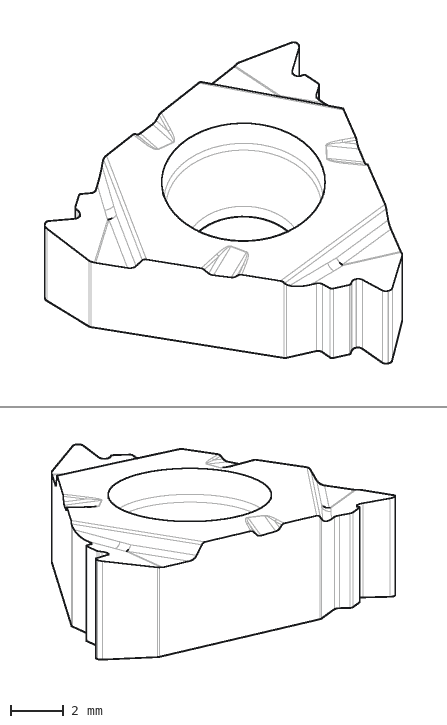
import cadquery as cq
import math

thickness = 4.17
inscribed_diameter = 9.53
inscribed_radius = inscribed_diameter / 2
corner_count = 3

tip_height = 6.9
tip_center_x = -3.56
tip_width = 0.28
tip_radius = 0.22
left_flank_angle = 27.8
right_flank_angle = 28.4
valley_height = 5.75
valley_radius = 0.25
valley_exit_angle = 30.0
crest_height = 6.0
crest_start_x = -2.36
crest_end_x = -1.6
crest_start_radius = 0.08
crest_end_radius = 0.14
step_angle = 28.7
base_height = 5.46
base_radius = 0.25
side_corner_radius = 0.16

bore_diameter = 4.4
mouth_diameter = 6.18
wall_end_diameter = 6.03
wall_end_depth = 1.0
seat_start_diameter = 5.87
seat_start_depth = 1.29
seat_end_depth = 3.59

pocket_angle = 28.0
pocket_wall_offset = 4.72
pocket_wall_angle = 60.0
pocket_depth = 0.62
pocket_lip_radius = 0.16
pocket_foot_radius = 0.34
rake_hinge_height = 4.7
rake_angle = 10.6
rake_blend_radius = 0.27

notch_angle = -15.0
notch_center_y = -0.23
notch_depth = 0.26
notch_length = 1.34
notch_floor_width = 0.66
notch_foot_radius = 0.26
notch_wall_angle = 45.0
notch_lip_radius = 0.15

margin = 4.06
tolerance = 0.001


def tangent(degrees):
    """Tangent of an angle in degrees."""
    return math.tan(math.radians(degrees))


def turned(point, degrees):
    """The point turned counterclockwise about the hole axis."""
    angle = math.radians(degrees)
    x, y = point
    return (
        x * math.cos(angle) - y * math.sin(angle),
        x * math.sin(angle) + y * math.cos(angle),
    )


def rounded_outline(workplane, corners):
    """Closed outline through (point, radius) corners, each rounded by a tangent arc."""
    for index, (point, radius) in enumerate(corners):
        corner = cq.Vector(*point)
        before = cq.Vector(*corners[index - 1][0])
        after = cq.Vector(*corners[(index + 1) % len(corners)][0])
        to_before = (before - corner).normalized()
        to_after = (after - corner).normalized()
        half_angle = to_before.getAngle(to_after) / 2
        setback = radius / math.tan(half_angle)
        bisector = (to_before + to_after).normalized()
        start = corner + to_before * setback
        middle = corner + bisector * (radius / math.sin(half_angle) - radius)
        end = corner + to_after * setback
        if index == 0:
            workplane = workplane.moveTo(start.x, start.y)
        else:
            workplane = workplane.lineTo(start.x, start.y)
        if radius > 0:
            workplane = workplane.threePointArc((middle.x, middle.y), (end.x, end.y))
    return workplane.close()


def corner_profile():
    """Corners of the outline from one side of the insert to the next, left to right."""
    tip_left_x = tip_center_x - tip_width / 2
    tip_right_x = tip_center_x + tip_width / 2
    shoulder_y = tip_height - (tip_left_x + inscribed_radius) / tangent(left_flank_angle)
    valley_left_x = tip_right_x + (tip_height - valley_height) * tangent(right_flank_angle)
    valley_right_x = crest_start_x - (crest_height - valley_height) * tangent(valley_exit_angle)
    step_foot_x = crest_end_x + (crest_height - base_height) * tangent(step_angle)
    base_end_x = 2 * inscribed_radius - base_height * math.sqrt(3)
    return [
        ((-inscribed_radius, shoulder_y), side_corner_radius),
        ((tip_left_x, tip_height), tip_radius),
        ((tip_right_x, tip_height), tip_radius),
        ((valley_left_x, valley_height), valley_radius),
        ((valley_right_x, valley_height), valley_radius),
        ((crest_start_x, crest_height), crest_start_radius),
        ((crest_end_x, crest_height), crest_end_radius),
        ((step_foot_x, base_height), base_radius),
        ((base_end_x, base_height), side_corner_radius),
    ]


def make_body():
    """Plain prism with the thread profile at all three corners."""
    corners = []
    for index in range(corner_count):
        turn = -360 / corner_count * index
        corners += [(turned(point, turn), radius) for point, radius in corner_profile()]
    return rounded_outline(cq.Workplane("XY"), corners).extrude(thickness)


def make_screw_hole():
    """Tapered mouth, rounded blend, domed screw seat and straight bore."""
    bore_radius = bore_diameter / 2
    seat_start = (seat_start_diameter / 2, thickness - seat_start_depth)
    seat_end = (bore_radius, thickness - seat_end_depth)
    wall_end = (wall_end_diameter / 2, thickness - wall_end_depth)
    rise = seat_start[1] - seat_end[1]
    run = seat_start[0] - seat_end[0]
    seat_radius = (rise**2 + run**2) / (2 * run)
    half_sweep = math.atan2(run, rise)
    seat_middle = (
        bore_radius + seat_radius * (1 - math.cos(half_sweep)),
        seat_end[1] + seat_radius * math.sin(half_sweep),
    )
    return (
        cq.Workplane("XZ")
        .moveTo(0, thickness)
        .lineTo(mouth_diameter / 2, thickness)
        .lineTo(*wall_end)
        .tangentArcPoint(seat_start, relative=False)
        .threePointArc(seat_middle, seat_end)
        .lineTo(bore_radius, 0)
        .lineTo(0, 0)
        .close()
        .revolve(360, (0, 0), (0, 1))
    )


def make_chip_pocket():
    """Space above the pocket floor and the rising rake face, in front of the sloped wall."""
    reach = 2 * inscribed_radius
    top = thickness + margin
    floor = thickness - pocket_depth
    foot = pocket_wall_offset + pocket_depth / tangent(pocket_wall_angle)
    wall_corners = [
        ((0, top), 0),
        ((0, thickness), 0),
        ((pocket_wall_offset, thickness), pocket_lip_radius),
        ((foot + margin / tangent(pocket_wall_angle), floor - margin), 0),
        ((reach + margin, floor - margin), 0),
        ((reach + margin, top), 0),
    ]
    in_front_of_wall = (
        rounded_outline(cq.Workplane("YZ"), wall_corners)
        .extrude(reach, both=True)
        .rotate((0, 0, 0), (0, 0, 1), pocket_angle)
    )
    rake_rise = (reach - rake_hinge_height) * tangent(rake_angle)
    floor_corners = [
        ((-margin, floor), 0),
        ((rake_hinge_height, floor), rake_blend_radius),
        ((reach, floor + rake_rise), 0),
        ((reach, top), 0),
        ((-margin, top), 0),
    ]
    above_floor = rounded_outline(cq.Workplane("YZ"), floor_corners).extrude(2 * reach, both=True)
    pocket = in_front_of_wall.intersect(above_floor)

    def at_wall_foot(edge):
        center = edge.Center()
        along, offset = turned((center.x, center.y), -pocket_angle)
        depth = thickness - center.z
        wall_offset = pocket_wall_offset + depth / tangent(pocket_wall_angle)
        on_wall = abs(offset - wall_offset) < tolerance
        between_ends = abs(along) < reach - tolerance
        return on_wall and between_ends and depth > pocket_lip_radius

    return pocket.edges().filter(at_wall_foot).fillet(pocket_foot_radius)


def make_notch():
    """Flat-bottomed notch with sloped walls, running out to nothing towards the hole."""
    foot_setback = notch_foot_radius * tangent(notch_wall_angle / 2)
    half_floor = notch_floor_width / 2 + foot_setback
    half_top = half_floor + margin / tangent(notch_wall_angle)
    corners = [
        ((-half_top, margin), 0),
        ((-half_floor, 0), notch_foot_radius),
        ((half_floor, 0), notch_foot_radius),
        ((half_top, margin), 0),
    ]
    floor_angle = math.degrees(math.atan2(notch_depth, notch_length))
    return (
        rounded_outline(cq.Workplane("YZ"), corners)
        .extrude(margin, both=True)
        .rotate((0, 0, 0), (0, 1, 0), -floor_angle)
        .rotate((0, 0, 0), (0, 0, 1), notch_angle)
        .translate((-inscribed_radius, notch_center_y, thickness - notch_depth))
    )


def cut_at_corners(body, tool):
    """Cut the same tool at every corner, turned about the hole axis."""
    for index in range(corner_count):
        body = body.cut(tool.rotate((0, 0, 0), (0, 0, 1), 360 / corner_count * index))
    return body


def on_notch_lip(edge):
    """Notch edges on the top face lie inside the sides; the floor's run-out stays sharp."""
    center = edge.Center()
    inside_sides = math.hypot(center.x, center.y) < inscribed_radius - tolerance
    is_run_out = abs(edge.Length() - notch_floor_width) < tolerance
    return inside_sides and not is_run_out


result = cut_at_corners(make_body(), make_notch())
result = result.faces(">Z").edges().filter(on_notch_lip).fillet(notch_lip_radius)
result = cut_at_corners(result, make_chip_pocket())
result = result.cut(make_screw_hole())